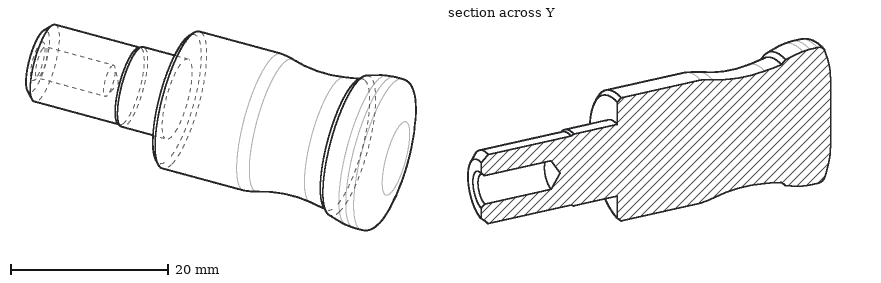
import cadquery as cq
import math

length = 48.8

stud_radius = 5.08
stud_chamfer = 1.0
shoulder_radius = 5.25
shoulder_start = 12.55
shoulder_end = 12.95

grip_start = 19.0
grip_radius = 9.05
grip_chamfer = 0.55
grip_end = 30.6

hollow_start = 32.2
hollow_start_radius = 8.75
waist_x = 36.5
waist_radius = 8.05
hollow_end = 39.55
hollow_end_radius = 8.25
entry_middle_x = (grip_end + hollow_start) / 2
entry_middle_radius = 8.95

flare_start = 41.85
flare_start_radius = 8.65
flare_lip_x = 42.45
flare_lip_radius = 9.2
flare_middle_x = 43.6
flare_middle_radius = 9.6
flare_end = 44.85
flare_end_radius = 9.85
cap_start = 45.8
cap_end = 46.9
cap_radius = 9.95
crown_middle_x = 48.2
crown_middle_radius = 8.55
end_face_radius = 4.85

hole_radius = 2.05
hole_mouth_radius = 2.55
hole_depth = 9.75
drill_point_angle = 118.0


def revolve_about_x(outline):
    """Close an XY half-outline and turn it about the X axis."""
    return outline.close().revolve(360, (0, 0, 0), (1, 0, 0))


def make_body():
    outline = (
        cq.Workplane("XY")
        .lineTo(0, stud_radius - stud_chamfer)
        .lineTo(stud_chamfer, stud_radius)
        .lineTo(shoulder_start, stud_radius)
        .lineTo(shoulder_end, shoulder_radius)
        .lineTo(grip_start, shoulder_radius)
        .lineTo(grip_start, grip_radius - grip_chamfer)
        .lineTo(grip_start + grip_chamfer, grip_radius)
        .lineTo(grip_end, grip_radius)
        .threePointArc((entry_middle_x, entry_middle_radius), (hollow_start, hollow_start_radius))
        .threePointArc((waist_x, waist_radius), (hollow_end, hollow_end_radius))
        .lineTo(flare_start, flare_start_radius)
        .lineTo(flare_lip_x, flare_lip_radius)
        .threePointArc((flare_middle_x, flare_middle_radius), (flare_end, flare_end_radius))
        .lineTo(cap_start, cap_radius)
        .lineTo(cap_end, cap_radius)
        .spline(
            [(crown_middle_x, crown_middle_radius), (length, end_face_radius)],
            tangents=[(1, 0), (0, -1)],
            includeCurrent=True,
        )
        .lineTo(length, 0)
    )
    return revolve_about_x(outline)


def make_hole():
    mouth_chamfer = hole_mouth_radius - hole_radius
    point_length = hole_radius / math.tan(math.radians(drill_point_angle / 2))
    outline = (
        cq.Workplane("XY")
        .lineTo(0, hole_mouth_radius)
        .lineTo(mouth_chamfer, hole_radius)
        .lineTo(hole_depth, hole_radius)
        .lineTo(hole_depth + point_length, 0)
    )
    return revolve_about_x(outline)


result = make_body().cut(make_hole())